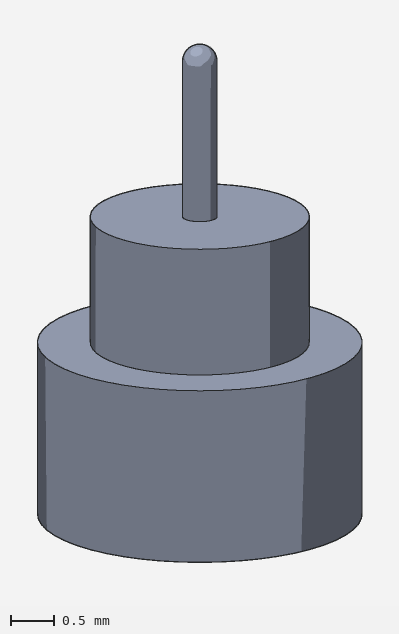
import cadquery as cq

total_height = 5.6
base_diameter = 3.7
base_height = 2.05
neck_diameter = 2.5
neck_height = 1.5

pin_diameter = 0.4
pin_radius = pin_diameter / 2
body_height = base_height + neck_height


def make_body():
    """Round base with a narrower concentric neck on top."""
    base = cq.Workplane("XY").circle(base_diameter / 2).extrude(base_height)
    return base.faces(">Z").workplane().circle(neck_diameter / 2).extrude(neck_height)


def make_pin():
    """Central pin standing on the neck, rounded at its free end."""
    pin_profile = (
        cq.Workplane("XZ")
        .moveTo(0, body_height)
        .lineTo(pin_radius, body_height)
        .lineTo(pin_radius, total_height - pin_radius)
        .radiusArc((0, total_height), -pin_radius)
        .close()
    )
    return pin_profile.revolve(360, (0, 0, 0), (0, 1, 0))


result = make_body().union(make_pin())